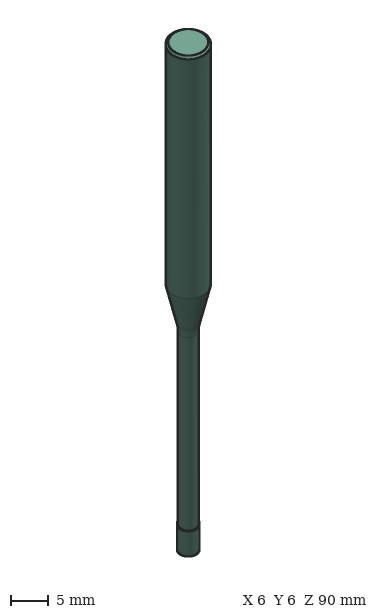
import cadquery as cq
import math

total_length = 90.0
shank_diameter = 6.0
neck_diameter = 2.8
tip_diameter = shank_diameter / 2

tip_length = 4.5
neck_top = 38.8

cone_half_angle = math.radians(12)
blend_radius = 6.9

chamfer_size = 0.4

shank_radius = shank_diameter / 2
neck_radius = neck_diameter / 2
bottom = -total_length / 2
top = bottom + total_length


def blend_point(angle):
    """Point (radius, height) on the fillet where its surface leans out by the given angle."""
    radius = neck_radius + blend_radius * (1 - math.cos(angle))
    height = bottom + neck_top + blend_radius * math.sin(angle)
    return radius, height


def make_holder():
    """Chamfered shank that narrows through a cone and a fillet to a slender neck."""
    cone_bottom_radius, cone_bottom_height = blend_point(cone_half_angle)
    cone_height = (shank_radius - cone_bottom_radius) / math.tan(cone_half_angle)
    cone_top_height = cone_bottom_height + cone_height
    profile = (
        cq.Workplane("XZ")
        .moveTo(0, bottom + tip_length)
        .lineTo(neck_radius, bottom + tip_length)
        .lineTo(neck_radius, bottom + neck_top)
        .threePointArc(blend_point(cone_half_angle / 2), blend_point(cone_half_angle))
        .lineTo(shank_radius, cone_top_height)
        .lineTo(shank_radius, top - chamfer_size)
        .lineTo(shank_radius - chamfer_size, top)
        .lineTo(0, top)
        .close()
    )
    return profile.revolve(360, (0, 0), (0, 1))


def make_tip():
    """Plain cylindrical cutting tip below the neck."""
    return cq.Workplane("XY").workplane(offset=bottom).circle(tip_diameter / 2).extrude(tip_length)


holder = make_holder()
tip = make_tip()

result = cq.Compound.makeCompound([holder.val(), tip.val()])